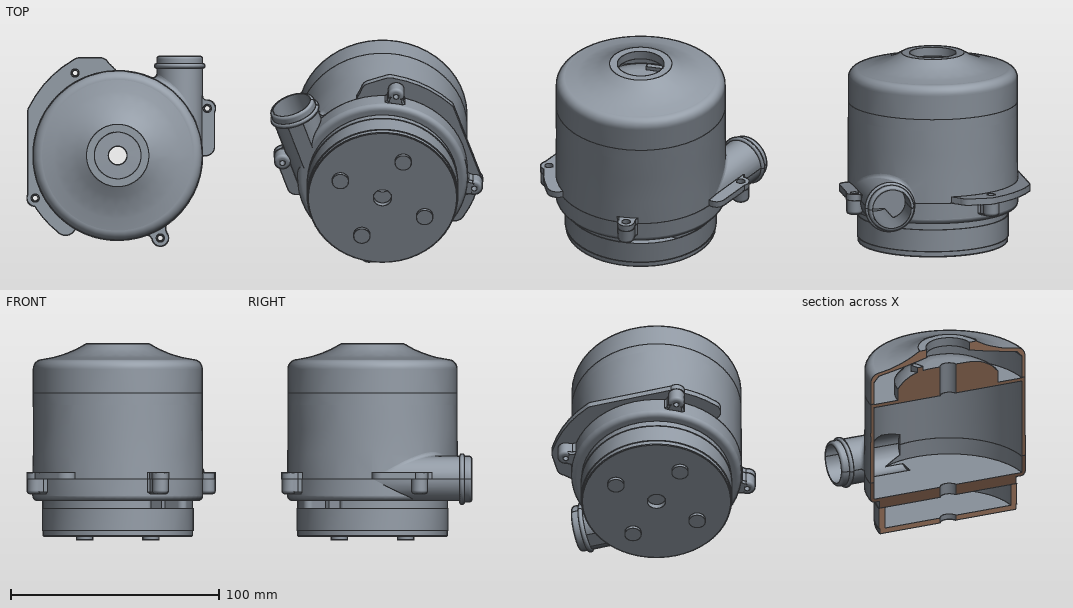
import cadquery as cq
import math

FOOT_HEIGHT = 1.7
CAN_LIP_Z = 4.4
CAN_TOP_Z = 15.2
BASE_BOTTOM_Z = 18.9
BOSS_BOTTOM_Z = 22.2
SPLIT_Z = 29.25
FLANGE_TOP_Z = 32.4
BAND_BOTTOM_Z = 64.8
CAP_BOTTOM_Z = 70.6
SHOULDER_Z = 82.0
CROWN_Z = 86.7
TOP_Z = 94.35

CAN_RADIUS = 36.3
CAN_LIP_RADIUS = 35.95
CAN_BORE_RADIUS = 33.0
NECK_RADIUS = 36.0
BASE_RADIUS = 40.9
BARREL_FOOT_RADIUS = 41.0
CAP_RADIUS = 40.7
CROWN_RADIUS = 36.2
INLET_RIM_RADIUS = 15.0
INLET_RADIUS = 11.2
SHAFT_HOLE_RADIUS = 4.4

WALL = 1.9
INLET_DEPTH = 4.2
CAN_FLOOR = 2.8
CAN_EDGE_CHAMFER = 0.4
BASE_EDGE_FILLET = 2.55

FLARE_MID_RADIUS = 25.0
FLARE_MID_Z = 89.4
ROOF_THICKNESS = 2.55

HUB_TOP_Z = 84.2
HUB_CURVE = [(11.3, 84.1), (17.0, 83.1), (22.2, 80.7), (26.4, 76.4)]
VANE_OFFSET = 11.3
VANE_ANGLE = 23
VANE_LENGTH = 12.1
VANE_THICKNESS = 2.8
VANE_TOP_Z = 85.9

NOZZLE_RADIUS = 11.0
NOZZLE_BORE_DIAMETER = 19.0
NOZZLE_X = 29.8
NOZZLE_END_Y = 47.7
NOZZLE_BORE_START_Y = 9.4
NOZZLE_END_FILLET = 1.4
NOZZLE_ROOT_FILLET = 1.9
BEAD_Y = 43.0
BEAD_RADIUS = 1.1

BOSS_X = 20.5
BOSS_Y = -39.6
BOSS_RADIUS = 4.1
BOSS_DRAFT = 0.2
BOSS_EDGE_FILLET = 1.5
WEB_EDGE_CHAMFER = 0.9
BOSS_ANGLES = (0, -90, 180)
WEB_LEFT_X = 13.6
WEB_RIGHT_X = 23.1
OUTLET_BOSS = (43.0, 22.6)
SCREW_HOLE_DIAMETER = 4.0
PILOT_HOLE_DIAMETER = 2.6

PLATE_TOP_Y = 47.1
PLATE_LEFT_X = -43.3
TAB_RIGHT_X = 46.6
TAB_CORNER_RADIUS = 4.5
TAB_BOTTOM_Y = -0.2
TAB_TOP_Y = 28.5
TAB_ROOT_RADIUS = 1.8
TAB_INNER_X = 39.2

WINDOW_ANGLE = -44.5
WINDOW_WIDTH = 19.6
WINDOW_DEPTH_RADIUS = 22.2
WINDOW_INNER_WIDTH = 15.1
WINDOW_INNER_DEPTH_RADIUS = 11.3
WINDOW_EDGE_FILLET = 2.55

FOOT_SPACING = 31.9
FOOT_RADIUS = 4.0

SPLIT_BLOCK_SIDE = 113.2


def disc(radius, bottom, top):
    return cq.Workplane("XY", origin=(0, 0, bottom)).circle(radius).extrude(top - bottom)


def slab(bottom, top):
    """A wide block that keeps everything between two heights."""
    block = cq.Workplane("XY", origin=(0, 0, bottom)).rect(SPLIT_BLOCK_SIDE, SPLIT_BLOCK_SIDE)
    return block.extrude(top - bottom)


def turned(profile):
    """Revolve a closed radius-height profile around the motor axis."""
    return profile.close().revolve(360, (0, 0, 0), (0, 1, 0))


def around_axis(shape, angle):
    return shape.rotate((0, 0, 0), (0, 0, 1), angle)


def shaft_hole():
    return disc(SHAFT_HOLE_RADIUS, 0, TOP_Z)


def boss_centre(angle):
    """Centre of the boss that is turned by angle from the first one."""
    turn = math.radians(angle)
    x = BOSS_X * math.cos(turn) - BOSS_Y * math.sin(turn)
    y = BOSS_X * math.sin(turn) + BOSS_Y * math.cos(turn)
    return (x, y)


BOSS_CENTRES = [boss_centre(angle) for angle in BOSS_ANGLES]


def screw_holes(diameter, bottom, top):
    plane = cq.Workplane("XY", origin=(0, 0, bottom))
    return plane.pushPoints(BOSS_CENTRES + [OUTLET_BOSS]).circle(diameter / 2).extrude(top - bottom)


def boss_round(bottom, top, radius):
    return cq.Workplane("XY", origin=(BOSS_X, BOSS_Y, bottom)).circle(radius).extrude(top - bottom)


def boss_web(bottom, top, inset):
    """Web that joins the first boss to the body, its sides shrunk by inset."""
    return (
        cq.Workplane("XY", origin=(0, 0, bottom))
        .moveTo(WEB_LEFT_X + inset, -34.0)
        .lineTo(WEB_LEFT_X + inset, -38.1)
        .lineTo(15.4 + inset, -38.7)
        .lineTo(17.5 + inset, -41.5)
        .lineTo(24.0 - inset, -37.7)
        .lineTo(WEB_RIGHT_X - inset, -35.8)
        .lineTo(WEB_RIGHT_X - inset, -32.1)
        .close()
        .extrude(top - bottom)
    )


def mounting_plate(bottom, top):
    """Wide flange on the -X side, with a rounded notch beside its lower boss."""
    return (
        cq.Workplane("XY", origin=(0, 0, bottom))
        .moveTo(0, 40.1)
        .lineTo(-4.5, 44.6)
        .threePointArc((-6.1, 46.3), (-8.7, PLATE_TOP_Y))
        .lineTo(-18.3, PLATE_TOP_Y)
        .threePointArc((-19.9, 46.7), (-21.3, 45.95))
        .threePointArc((-33.6, 36.2), (-42.55, 23.4))
        .threePointArc((-43.1, 22.2), (PLATE_LEFT_X, 20.9))
        .lineTo(PLATE_LEFT_X, -20.5)
        .lineTo(-39.6, -24.5)
        .lineTo(-39.1, -25.7)
        .threePointArc((-34.7, -31.2), (-28.9, -36.7))
        .threePointArc((-25.4, -38.4), (-21.2, -36.7))
        .lineTo(-20.1, -34.9)
        .lineTo(0, 0)
        .close()
        .extrude(top - bottom)
    )


def outlet_tab(bottom, top):
    """Flange on the +X side that carries the boss beside the outlet."""
    x, y = OUTLET_BOSS
    boss_drop = math.sqrt(BOSS_RADIUS**2 - (TAB_RIGHT_X - x) ** 2)
    root_x = NOZZLE_X + NOZZLE_RADIUS
    corner_x = TAB_RIGHT_X - TAB_CORNER_RADIUS
    return (
        cq.Workplane("XY", origin=(0, 0, bottom))
        .moveTo(TAB_INNER_X, TAB_BOTTOM_Y)
        .lineTo(corner_x, TAB_BOTTOM_Y)
        .radiusArc((TAB_RIGHT_X, TAB_BOTTOM_Y + TAB_CORNER_RADIUS), -TAB_CORNER_RADIUS)
        .lineTo(TAB_RIGHT_X, y - boss_drop)
        .threePointArc((x + BOSS_RADIUS, y), (x, y + BOSS_RADIUS))
        .lineTo(root_x + TAB_ROOT_RADIUS, y + BOSS_RADIUS)
        .radiusArc((root_x, TAB_TOP_Y), TAB_ROOT_RADIUS)
        .lineTo(TAB_INNER_X, TAB_TOP_Y)
        .close()
        .extrude(top - bottom)
    )


def nozzle_body():
    """Tube up to the bead; the hose end follows it."""
    tube = cq.Workplane("XZ", origin=(NOZZLE_X, BEAD_Y, SPLIT_Z)).circle(NOZZLE_RADIUS)
    return tube.extrude(BEAD_Y)


def nozzle_tip():
    """Hose end of the nozzle: from the bead to the rounded rim."""
    return (
        cq.Workplane("XY", origin=(NOZZLE_X, 0, SPLIT_Z))
        .moveTo(0, BEAD_Y - BEAD_RADIUS)
        .lineTo(NOZZLE_RADIUS, BEAD_Y - BEAD_RADIUS)
        .threePointArc((NOZZLE_RADIUS + BEAD_RADIUS, BEAD_Y), (NOZZLE_RADIUS, BEAD_Y + BEAD_RADIUS))
        .lineTo(NOZZLE_RADIUS, NOZZLE_END_Y - NOZZLE_END_FILLET)
        .radiusArc((NOZZLE_RADIUS - NOZZLE_END_FILLET, NOZZLE_END_Y), -NOZZLE_END_FILLET)
        .lineTo(0, NOZZLE_END_Y)
        .close()
        .revolve(360, (0, 0, 0), (0, 1, 0))
    )


def nozzle_bore():
    bore = cq.Workplane("XZ", origin=(NOZZLE_X, NOZZLE_END_Y, SPLIT_Z)).circle(NOZZLE_BORE_DIAMETER / 2)
    return bore.extrude(NOZZLE_END_Y - NOZZLE_BORE_START_Y)


def make_cap():
    inner_radius = CAP_RADIUS - WALL
    inner_crown_z = CROWN_Z - WALL
    diagonal = math.sqrt(0.5)
    shoulder_mid = (
        CROWN_RADIUS + (CAP_RADIUS - CROWN_RADIUS) * diagonal,
        SHOULDER_Z + (CROWN_Z - SHOULDER_Z) * diagonal,
    )
    roof_mid = (FLARE_MID_RADIUS, FLARE_MID_Z - ROOF_THICKNESS)
    profile = (
        cq.Workplane("XZ")
        .moveTo(INLET_RADIUS, TOP_Z)
        .lineTo(INLET_RIM_RADIUS, TOP_Z)
        .threePointArc((FLARE_MID_RADIUS, FLARE_MID_Z), (CROWN_RADIUS, CROWN_Z))
        .threePointArc(shoulder_mid, (CAP_RADIUS, SHOULDER_Z))
        .lineTo(CAP_RADIUS, CAP_BOTTOM_Z)
        .lineTo(inner_radius, CAP_BOTTOM_Z)
        .lineTo(inner_radius, SHOULDER_Z)
        .lineTo(CROWN_RADIUS, inner_crown_z)
        .threePointArc(roof_mid, (INLET_RADIUS, TOP_Z - INLET_DEPTH))
    )
    return turned(profile)


def barrel_wall():
    """Barrel that tapers up to a straight band on top, merged into the nozzle tube with a fillet."""
    profile = (
        cq.Workplane("XZ")
        .lineTo(BARREL_FOOT_RADIUS, 0)
        .lineTo(CAP_RADIUS, BAND_BOTTOM_Z)
        .lineTo(CAP_RADIUS, CAP_BOTTOM_Z)
        .lineTo(0, CAP_BOTTOM_Z)
    )
    wall = turned(profile).union(nozzle_body())
    root = cq.selectors.BoxSelector(
        (NOZZLE_X - NOZZLE_RADIUS, NOZZLE_RADIUS, SPLIT_Z - NOZZLE_RADIUS),
        (CAP_RADIUS, CAP_RADIUS, SPLIT_Z + NOZZLE_RADIUS),
    )
    return wall.edges(root).fillet(NOZZLE_ROOT_FILLET)


def hub():
    """Dome that falls away from a nearly level top, with a vane running off along a tangent."""
    profile = (
        cq.Workplane("XZ")
        .moveTo(0, HUB_TOP_Z)
        .spline(HUB_CURVE, includeCurrent=True)
        .lineTo(HUB_CURVE[-1][0], CAP_BOTTOM_Z)
        .lineTo(0, CAP_BOTTOM_Z)
    )
    vane = (
        cq.Workplane("XY", origin=(0, VANE_OFFSET, CAP_BOTTOM_Z))
        .rect(VANE_LENGTH, VANE_THICKNESS, centered=False)
        .extrude(VANE_TOP_Z - CAP_BOTTOM_Z)
    )
    return turned(profile).union(around_axis(vane, VANE_ANGLE))


def barrel_flange():
    flange = mounting_plate(SPLIT_Z, FLANGE_TOP_Z)
    flange = flange.union(outlet_tab(SPLIT_Z, FLANGE_TOP_Z))
    flange = flange.union(boss_web(SPLIT_Z, FLANGE_TOP_Z, 0))
    bosses = cq.Workplane("XY", origin=(0, 0, SPLIT_Z)).pushPoints(BOSS_CENTRES).circle(BOSS_RADIUS)
    return flange.union(bosses.extrude(FLANGE_TOP_Z - SPLIT_Z))


def make_barrel():
    upper = slab(SPLIT_Z, TOP_Z)
    barrel = barrel_wall().intersect(upper)
    barrel = barrel.union(nozzle_tip().intersect(upper))
    barrel = barrel.union(barrel_flange()).union(hub())
    barrel = barrel.cut(disc(CAP_RADIUS - WALL, SPLIT_Z, CAP_BOTTOM_Z - WALL))
    barrel = barrel.cut(nozzle_bore()).cut(shaft_hole())
    return barrel.cut(screw_holes(SCREW_HOLE_DIAMETER, SPLIT_Z, FLANGE_TOP_Z))


def base_bosses():
    """Three bosses with webs and the plain one beside the outlet, all rounded at the lower end."""
    radius = BOSS_RADIUS - BOSS_DRAFT
    post = boss_round(BOSS_BOTTOM_Z, SPLIT_Z, radius).faces("<Z").edges().fillet(BOSS_EDGE_FILLET)
    web = boss_web(BOSS_BOTTOM_Z, SPLIT_Z, BOSS_DRAFT).faces("<Z").edges().chamfer(WEB_EDGE_CHAMFER)
    first = post.union(web)
    outlet_boss = (
        cq.Workplane("XY", origin=(*OUTLET_BOSS, BOSS_BOTTOM_Z))
        .circle(radius)
        .extrude(SPLIT_Z - BOSS_BOTTOM_Z)
        .faces("<Z").edges().fillet(BOSS_EDGE_FILLET)
    )
    return [around_axis(first, angle) for angle in BOSS_ANGLES] + [outlet_boss]


def window_pocket(width, depth_radius):
    """Straight pocket that runs from depth_radius out through the neck."""
    length = NECK_RADIUS + WALL - depth_radius
    return (
        cq.Workplane("XY", origin=(0, 0, CAN_TOP_Z))
        .center(depth_radius + length / 2, 0)
        .rect(length, width)
        .extrude(BASE_BOTTOM_Z - CAN_TOP_Z)
    )


def base_neck():
    """Round neck with a stepped window whose outer edges are rounded."""
    neck = disc(NECK_RADIUS, CAN_TOP_Z, BASE_BOTTOM_Z)
    neck = neck.cut(window_pocket(WINDOW_WIDTH, WINDOW_DEPTH_RADIUS))
    neck = neck.cut(window_pocket(WINDOW_INNER_WIDTH, WINDOW_INNER_DEPTH_RADIUS))
    mouth = cq.selectors.BoxSelector(
        (WINDOW_DEPTH_RADIUS + WALL, -WINDOW_WIDTH, CAN_TOP_Z),
        (NECK_RADIUS, WINDOW_WIDTH, BASE_BOTTOM_Z),
    )
    return around_axis(neck.edges("|Z").edges(mouth).fillet(WINDOW_EDGE_FILLET), WINDOW_ANGLE)


def make_base():
    base = disc(BASE_RADIUS, BASE_BOTTOM_Z, SPLIT_Z).faces("<Z").edges().fillet(BASE_EDGE_FILLET)
    base = base.union(nozzle_body().intersect(slab(BASE_BOTTOM_Z, SPLIT_Z)))
    base = base.union(nozzle_tip().intersect(slab(0, SPLIT_Z)))
    for boss in base_bosses():
        base = base.union(boss)
    base = base.union(base_neck())
    base = base.cut(disc(CAP_RADIUS - WALL, BASE_BOTTOM_Z + WALL, SPLIT_Z))
    base = base.cut(nozzle_bore()).cut(shaft_hole())
    return base.cut(screw_holes(PILOT_HOLE_DIAMETER, BOSS_BOTTOM_Z, SPLIT_Z))


def make_can():
    """Open cup that closes the motor below the neck, standing on four feet."""
    can = disc(CAN_LIP_RADIUS, FOOT_HEIGHT, CAN_LIP_Z).faces("<Z").edges().chamfer(CAN_EDGE_CHAMFER)
    can = can.union(disc(CAN_RADIUS, CAN_LIP_Z, CAN_TOP_Z))
    can = can.cut(disc(CAN_BORE_RADIUS, FOOT_HEIGHT + CAN_FLOOR, CAN_TOP_Z))
    feet = (
        cq.Workplane("XY")
        .rarray(FOOT_SPACING, FOOT_SPACING, 2, 2)
        .circle(FOOT_RADIUS)
        .extrude(FOOT_HEIGHT)
    )
    return can.union(feet).cut(shaft_hole())


cap = make_cap()
barrel = make_barrel()
base = make_base()
can = make_can()

result = cq.Compound.makeCompound([cap.val(), barrel.val(), base.val(), can.val()])